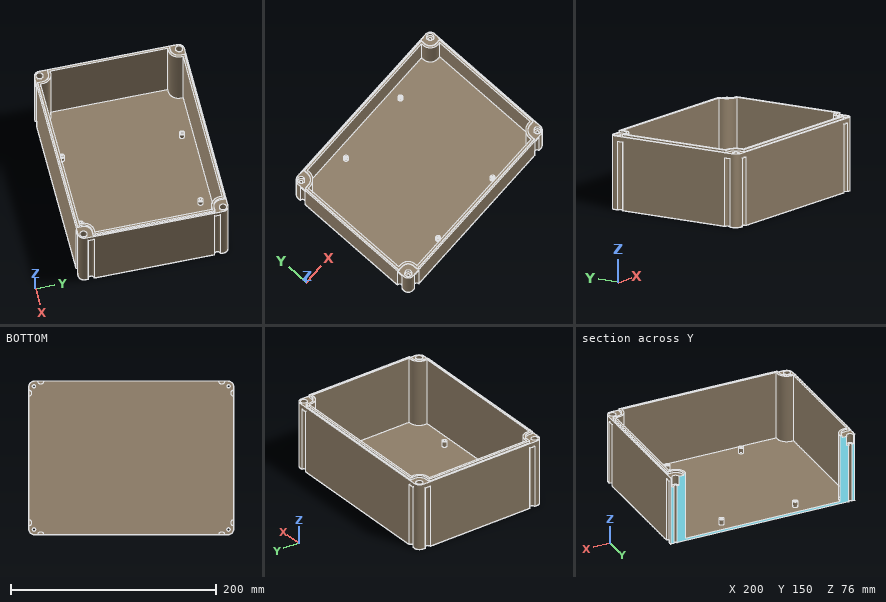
import cadquery as cq

length = 200.0
width = 150.0
height = 76.0
corner_radius = 6.0

wall = 3.5
floor = 3.0
rim_inset = 1.5
rim_height = 2.2
shoulder_z = height - rim_height

screw_inset = 5.2
screw_hole_diameter = 3.0
counterbore_diameter = 7.0
counterbore_depth = 10.0
pillar_radius = 10.2
rim_corner_radius = pillar_radius - (wall - rim_inset)

groove_radius = 3.0
groove_inset = 11.8
groove_top_z = height - 7.5

post_diameter = 5.0
post_height = 6.0
post_hole_diameter = 2.5
post_hole_depth = 5.0
post_spacing_x = 80.0
post_spacing_y = 120.0


def corner_points(spacing_x, spacing_y):
    """Four points at the corners of a centred rectangle."""
    return [(sx * spacing_x / 2, sy * spacing_y / 2) for sx in (-1, 1) for sy in (-1, 1)]


pillar_points = corner_points(length - 2 * corner_radius, width - 2 * corner_radius)
screw_points = corner_points(length - 2 * screw_inset, width - 2 * screw_inset)
post_points = corner_points(post_spacing_x, post_spacing_y)


def cylinders(points, diameter, bottom_z, top_z):
    """Vertical cylinders at the given points between two heights."""
    plane = cq.Workplane("XY", origin=(0, 0, bottom_z))
    return plane.pushPoints(points).circle(diameter / 2).extrude(top_z - bottom_z)


def blocks(points, size_x, size_y, bottom_z, top_z):
    """Rectangular blocks centred on the given points between two heights."""
    plane = cq.Workplane("XY", origin=(0, 0, bottom_z))
    return plane.pushPoints(points).rect(size_x, size_y).extrude(top_z - bottom_z)


def notched_block(inset, notch_radius, bottom_z, top_z):
    """Inset block with each corner notched by an arc around the pillar axis and two straight arms."""
    span = (bottom_z, top_z)
    arm = 2 * corner_radius
    block = blocks([(0, 0)], length - 2 * inset, width - 2 * inset, *span)
    block = block.cut(cylinders(pillar_points, 2 * notch_radius, *span))
    block = block.cut(blocks(corner_points(length, width - arm), arm, 2 * notch_radius, *span))
    return block.cut(blocks(corner_points(length - arm, width), 2 * notch_radius, arm, *span))


body = blocks([(0, 0)], length, width, 0, shoulder_z).edges("|Z").fillet(corner_radius)
rim = notched_block(rim_inset, rim_corner_radius, shoulder_z, height)
cavity = notched_block(wall, pillar_radius, floor, height)
result = body.union(rim).cut(cavity)

result = result.cut(cylinders(screw_points, screw_hole_diameter, 0, shoulder_z))
result = result.cut(
    cylinders(screw_points, counterbore_diameter, shoulder_z - counterbore_depth, shoulder_z)
)

groove_points = corner_points(length - 2 * groove_inset, width)
groove_points += corner_points(length, width - 2 * groove_inset)
result = result.cut(cylinders(groove_points, 2 * groove_radius, 0, groove_top_z))

post_top_z = floor + post_height
result = result.union(cylinders(post_points, post_diameter, floor, post_top_z))
result = result.cut(
    cylinders(post_points, post_hole_diameter, post_top_z - post_hole_depth, post_top_z)
)